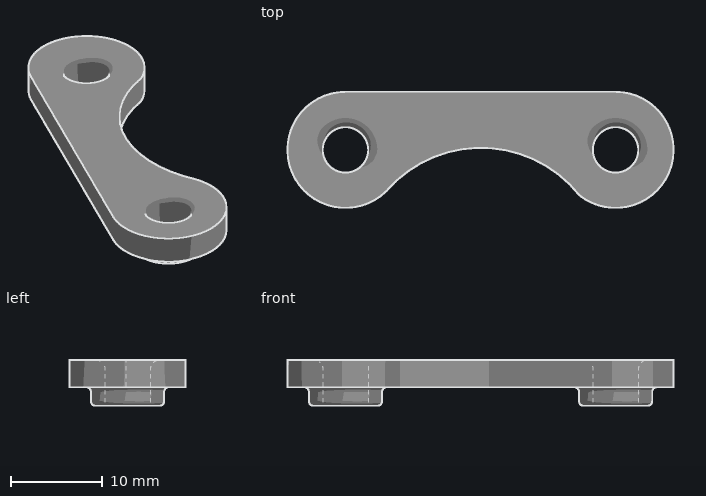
import cadquery as cq
import math

length = 42.15
end_radius = 6.34
hole_offset = length / 2 - end_radius
plate_thickness = 3.0
waist_top = 0.2
waist_centre = 0.25
waist_half_width = 10.55

boss_diameter = 8.0
boss_height = 2.02
boss_fillet = 0.5
hole_diameter = 4.95
hole_mouth_radius = 1.0
selection_margin = 0.05

hole_centres = [(-hole_offset, 0), (hole_offset, 0)]


def waist_corner(side):
    """Point where the concave edge meets the rounded end on the given side (-1 or +1)."""
    x = waist_centre + side * waist_half_width
    return x, -math.sqrt(end_radius**2 - (hole_offset - abs(x)) ** 2)


def make_plate():
    """Flat link with two round ends, a straight back and a concave front."""
    outline = (
        cq.Workplane("XY")
        .moveTo(-hole_offset, end_radius)
        .lineTo(hole_offset, end_radius)
        .threePointArc((length / 2, 0), waist_corner(1))
        .threePointArc((waist_centre, waist_top), waist_corner(-1))
        .threePointArc((-length / 2, 0), (-hole_offset, end_radius))
        .close()
    )
    return outline.extrude(plate_thickness)


def add_bosses(plate):
    """Round bosses under the plate, filleted at root and rim."""
    bosses = cq.Workplane("XY").pushPoints(hole_centres).circle(boss_diameter / 2).extrude(-boss_height)
    body = plate.union(bosses)
    for x, y in hole_centres:
        reach = boss_diameter / 2 + selection_margin
        around_boss = cq.selectors.BoxSelector(
            (x - reach, y - reach, -boss_height - selection_margin),
            (x + reach, y + reach, selection_margin),
            boundingbox=True,
        )
        body = body.edges(around_boss).edges("%CIRCLE").fillet(boss_fillet)
    return body


def cut_holes(body):
    """Through holes whose upper mouths are rounded over."""
    body = body.faces(">Z").workplane(origin=(0, 0, 0)).pushPoints(hole_centres).hole(hole_diameter)
    for x, y in hole_centres:
        mouth = cq.selectors.NearestToPointSelector((x, y, plate_thickness))
        body = body.faces(">Z").edges(mouth).fillet(hole_mouth_radius)
    return body


result = cut_holes(add_bosses(make_plate()))